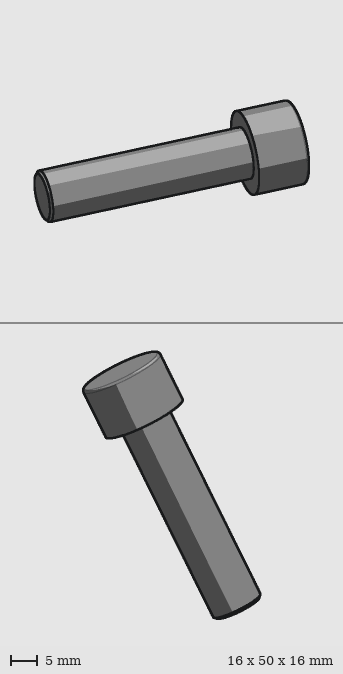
import cadquery as cq

HEAD_DIAMETER = 16.0
HEAD_HEIGHT = 10.0
HEAD_EDGE_RADIUS = 0.5
SHANK_DIAMETER = 9.85
SHANK_LENGTH = 40.0
TIP_CHAMFER = 0.5


def make_head():
    """Cylindrical head with a rounded outer edge on its top face."""
    head = cq.Workplane("XZ").circle(HEAD_DIAMETER / 2).extrude(-HEAD_HEIGHT)
    return head.faces(">Y").edges().fillet(HEAD_EDGE_RADIUS)


def make_shank():
    """Plain cylindrical shank with a chamfered tip."""
    shank = cq.Workplane("XZ").circle(SHANK_DIAMETER / 2).extrude(SHANK_LENGTH)
    return shank.faces("<Y").edges().chamfer(TIP_CHAMFER)


result = make_head().union(make_shank())